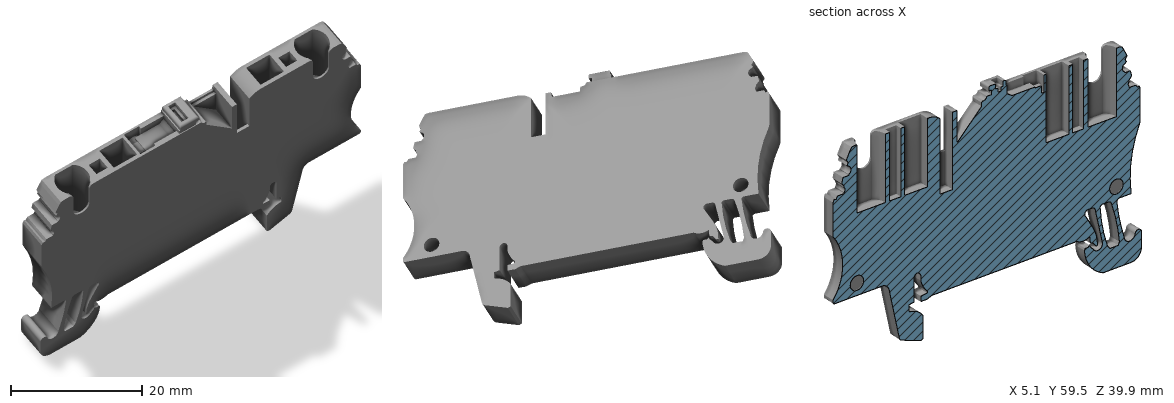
import cadquery as cq
import math


width = 5.1
side = width / 2
end = 29.6
foot_tip = -29.85
base_z = 11.95
keel_z = 7.15
top_z = 38.25
button_top_z = 39.85
shoulder_z = 37.7

slot_back = 8.9
slot_front = 6.6
slot_floor_z = 30.2
slot_pocket_depth = 5.95
shoulder_run = 2.15
shoulder_drop = 0.9
recess_back = 5.7
recess_front = 1.0
recess_floor_z = 36.8
ledge_left, ledge_z = -2.2, 36.3
ramp_low_z = 32.1
inner_left = -1.7
inner_right = 2.1

opening_depth = 11.9
tool_x, tool_y, tool_radius = 0.1, 22.25, 2.75
tool_left, tool_right = -2.1, 2.25
window_depth, window_width, window_flare = 5.95, 3.0, 0.85
test_y, test_x, test_size = 17.6, 0.35, 2.1
wire_y, wire_length, wire_width = 13.6, 4.35, 3.85

pin_y, pin_z, pin_radius, pin_depth = 25.0, 14.15, 1.25, 3.0

notches = [(26.95, 34.25, 0.8), (27.85, 31.15, 0.55)]

cap_back, cap_front, cap_half_width = -0.35, -3.8, 2.45
cap_bottom_z = 38.95
cap_rounding = 0.35
stem_back, stem_front = -0.9, -4.0
tool_slot_left, tool_slot_right = -1.85, 1.7
tool_slot_front, tool_slot_back = -3.1, -1.8
tool_slot_step = 0.4
lever_half_width = 1.7
lever_z = 36.75
lever_front = -9.35
lever_ramp, lever_ramp_height = 0.9, 0.6
lever_pocket_back, lever_pocket_front = -8.2, -11.0
lever_pocket_left, lever_pocket_right = -2.25, 2.15
lever_pocket_depth = 3.0
tab_half_width, tab_front, tab_drop = 1.0, -10.6, 0.2
roll_y, roll_radius = -9.3, 1.1


def profile(y, z):
    """Start an outline on the -X side of the part."""
    return cq.Workplane("YZ", origin=(-side, 0, 0)).moveTo(y, z)


def block(x0, x1, y0, y1, z0, z1):
    """Box between two opposite corners."""
    return cq.Workplane("XY").box(x1 - x0, y1 - y0, z1 - z0, centered=False).translate((x0, y0, z0))


def stepped_end():
    """Stepped upper end, as (distance from the middle, Z), from the top face down."""
    return [
        (25.5, top_z), (26.05, 38.1), (26.4, 37.55), (27.05, 36.2), (26.7, 35.6), (26.95, 35.2),
        (26.6, 34.85), (26.6, 33.4), (27.7, 33.4), (27.95, 32.4), (27.5, 31.8),
        (27.5, 30.6), (28.7, 30.6), (29.0, 30.1), (29.4, 30.2), (end, 29.7),
    ]


def housing():
    """Outline of the main body, including the slot and steps in its top face."""
    plus_end = stepped_end()
    minus_end = [(-y, z) for y, z in reversed(plus_end)]
    outline = profile(*plus_end[0])
    for y, z in plus_end[1:]:
        outline = outline.lineTo(y, z)
    outline = (
        outline.lineTo(end, 23.75)
        .threePointArc((27.8, 18.3), (end, 12.7))
        .lineTo(end, 12.2)
        .lineTo(end - 0.25, base_z)
        .lineTo(-27.85, base_z)
        .lineTo(-27.85, 12.3)
        .threePointArc((-27.85, 17.4), (-29.5, 23.6))
        .lineTo(-end, 24.15)
    )
    for y, z in minus_end:
        outline = outline.lineTo(y, z)
    outline = (
        outline.lineTo(0, top_z)
        .threePointArc((0.25, 37.8), (0.85, shoulder_z))
        .lineTo(recess_front, 37.5)
        .lineTo(recess_front, recess_floor_z)
        .lineTo(5.55, recess_floor_z)
        .lineTo(recess_back, shoulder_z)
        .lineTo(slot_front, shoulder_z)
        .lineTo(slot_front, slot_floor_z)
        .lineTo(slot_back, slot_floor_z)
        .lineTo(slot_back, top_z - shoulder_drop)
        .threePointArc((9.8, 37.95), (slot_back + shoulder_run, top_z))
        .close()
    )
    return outline.extrude(width)


def keel():
    """Middle part below the housing, resting on the rail."""
    return (
        profile(13.4, base_z)
        .threePointArc((12.9, 11.7), (12.7, 11.35))
        .lineTo(12.7, 10.45)
        .threePointArc((12.3, 9.35), (11.5, 8.2))
        .lineTo(11.5, 7.9)
        .lineTo(12.7, 7.8)
        .lineTo(12.7, 6.8)
        .lineTo(11.5, 6.8)
        .lineTo(10.6, keel_z)
        .lineTo(-17.35, keel_z)
        .threePointArc((-18.6, 6.8), (-19.8, keel_z))
        .lineTo(-19.9, 6.0)
        .lineTo(-20.45, 5.8)
        .lineTo(-21.05, 5.1)
        .lineTo(-21.35, 5.1)
        .threePointArc((-21.2, 6.9), (-20.5, 8.5))
        .lineTo(-19.15, 10.9)
        .threePointArc((-19.05, 11.65), (-19.5, base_z))
        .close()
        .extrude(width)
    )


def rail_hook():
    """Rigid hook below the +Y half."""
    return (
        profile(19.9, base_z)
        .threePointArc((19.2, 11.6), (18.8, 10.7))
        .lineTo(16.9, 1.95)
        .threePointArc((16.65, 1.5), (16.25, 1.25))
        .lineTo(12.65, 0)
        .lineTo(12.2, 0.2)
        .lineTo(12.2, 4.2)
        .threePointArc((13.2, 5.25), (14.75, 5.75))
        .lineTo(14.9, 5.95)
        .lineTo(14.9, 6.95)
        .lineTo(14.0, 7.15)
        .lineTo(14.0, 11.35)
        .threePointArc((13.8, 11.7), (13.4, base_z))
        .close()
        .extrude(width)
    )


def spring_foot():
    """Springy foot below the -Y end: two thin legs carrying a rounded jaw."""
    foot = (
        profile(-20.4, base_z)
        .threePointArc((-20.7, 11.8), (-20.9, 11.4))
        .lineTo(-22.25, 5.3)
        .threePointArc((-21.4, 4.3), (-20.6, 4.75))
        .lineTo(-19.9, 5.4)
        .lineTo(-19.8, 5.7)
        .lineTo(-19.5, 5.5)
        .lineTo(-18.9, 5.5)
        .lineTo(-18.8, 5.1)
        .threePointArc((-20.0, 1.85), (-22.4, 0))
        .lineTo(-27.9, 0)
        .threePointArc((-29.25, 0.6), (foot_tip, 1.95))
        .lineTo(foot_tip, 4.7)
        .threePointArc((-29.2, 5.35), (-28.55, 4.7))
        .threePointArc((-27.6, 3.85), (-26.5, 4.9))
        .threePointArc((-25.65, 8.2), (-25.1, 11.65))
        .lineTo(-25.4, base_z)
        .close()
        .extrude(width)
    )
    window = (
        profile(-22.2, base_z)
        .lineTo(-23.55, base_z)
        .threePointArc((-23.85, 11.8), (-24.05, 11.4))
        .threePointArc((-25.0, 7.9), (-25.5, 4.4))
        .lineTo(-25.3, 3.85)
        .lineTo(-23.75, 3.85)
        .lineTo(-23.3, 4.4)
        .threePointArc((-22.35, 7.9), (-21.9, 11.65))
        .close()
        .extrude(width)
    )
    return foot.cut(window)


def tool_opening(y):
    """Round opening with flattened sides and a flared window through the +X wall."""
    bottom_z = top_z - opening_depth
    flats = block(tool_left, tool_right, y - tool_radius, y + tool_radius, bottom_z, top_z)
    bore = cq.Workplane("XY", origin=(tool_x, y, bottom_z)).circle(tool_radius).extrude(opening_depth)
    half = window_width / 2
    flared = half + window_flare
    bend = window_flare * (1 - math.sqrt(0.5))
    window = (
        cq.Workplane("YZ", origin=(inner_right, y, top_z))
        .moveTo(-flared, 0)
        .threePointArc((-half - bend, -bend), (-half, -window_flare))
        .lineTo(-half, half - window_depth)
        .threePointArc((0, -window_depth), (half, half - window_depth))
        .lineTo(half, -window_flare)
        .threePointArc((half + bend, -bend), (flared, 0))
        .close()
        .extrude(side - inner_right)
    )
    return bore.intersect(flats).union(window)


def rectangular_opening(x, y, size_x, size_y):
    """Blind rectangular opening in the top face."""
    return (
        cq.Workplane("XY", origin=(x, y, top_z))
        .rect(size_x, size_y)
        .extrude(-opening_depth)
    )


def jumper_recess():
    """Recess with a sloping floor, open to the +X side."""
    ledge = block(ledge_left, inner_left, recess_front, recess_back, ledge_z, shoulder_z)
    recess = (
        cq.Workplane("YZ", origin=(inner_left, 0, 0))
        .moveTo(recess_back, shoulder_z)
        .lineTo(recess_back, ramp_low_z)
        .lineTo(recess_front, recess_floor_z)
        .lineTo(recess_front, shoulder_z)
        .close()
        .extrude(side - inner_left)
    )
    return recess.union(ledge)


def lever_recess():
    """Shallow channel over the lever and a deeper pocket round its free end."""
    channel = (
        cq.Workplane("YZ", origin=(-lever_half_width, 0, 0))
        .moveTo(stem_front, top_z)
        .lineTo(stem_front, lever_z + lever_ramp_height)
        .lineTo(stem_front - lever_ramp, lever_z)
        .lineTo(lever_front, lever_z)
        .lineTo(lever_front, top_z)
        .close()
        .extrude(2 * lever_half_width)
    )
    pocket = block(lever_pocket_left, lever_pocket_right, lever_pocket_front, lever_pocket_back,
                   top_z - lever_pocket_depth, top_z)
    lever_end = block(-lever_half_width, lever_half_width, lever_front, lever_pocket_back,
                      top_z - lever_pocket_depth, lever_z)
    tab = block(-tab_half_width, tab_half_width, tab_front, lever_front,
                top_z - lever_pocket_depth, lever_z - tab_drop)
    roll = (
        cq.Workplane("YZ", origin=(lever_pocket_left, roll_y, top_z - lever_pocket_depth))
        .circle(roll_radius)
        .extrude(lever_pocket_right - lever_pocket_left)
    )
    return pocket.union(channel).cut(lever_end).cut(tab).cut(roll)


def button():
    """Push button with an overhanging cap and a stepped slot for a tool."""
    cap = (
        block(-cap_half_width, cap_half_width, cap_front, cap_back, cap_bottom_z, button_top_z)
        .faces(">Z").edges().fillet(cap_rounding)
    )
    stem = block(-cap_half_width, cap_half_width, stem_front, stem_back, lever_z, cap_bottom_z)
    tool_slot = block(tool_slot_left, tool_slot_right, tool_slot_front, tool_slot_back,
                      cap_bottom_z, button_top_z)
    slot_bottom = block(tool_slot_left + tool_slot_step, tool_slot_right,
                        tool_slot_front + tool_slot_step, tool_slot_back - tool_slot_step,
                        lever_z, cap_bottom_z)
    return cap.union(stem).cut(tool_slot).cut(slot_bottom)


body = housing().union(keel()).union(rail_hook()).union(spring_foot())

for direction in (1, -1):
    body = body.cut(tool_opening(direction * tool_y))
    body = body.cut(rectangular_opening(test_x, direction * test_y, test_size, test_size))
    body = body.cut(rectangular_opening(0, direction * wire_y, wire_width, wire_length))
    body = body.cut(profile(direction * pin_y, pin_z).circle(pin_radius).extrude(pin_depth))
    for notch_y, notch_z, notch_radius in notches:
        body = body.cut(profile(direction * notch_y, notch_z).circle(notch_radius).extrude(width))

body = body.cut(block(inner_left, inner_right, slot_front, slot_back,
                      slot_floor_z - slot_pocket_depth, slot_floor_z))
body = body.cut(jumper_recess())
body = body.cut(lever_recess())

result = body.union(button())